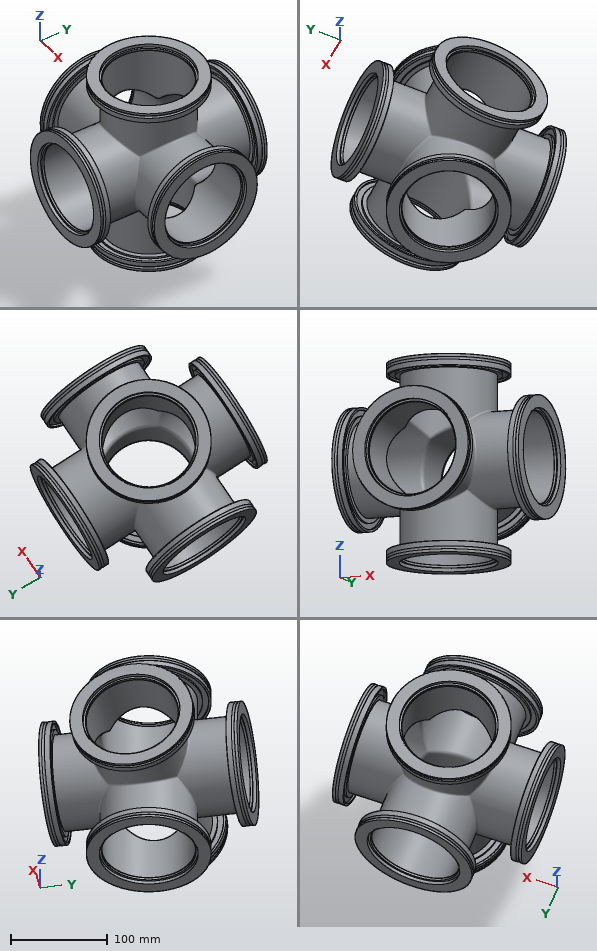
import cadquery as cq
face_offset = 105.0

tube_diameter = 101.5
tube_bore_diameter = 97.3
outer_seam_radius = 1.7
wall_thickness = (tube_diameter - tube_bore_diameter) / 2
inner_seam_radius = outer_seam_radius + wall_thickness

flange_diameter = 130.0
flange_thickness = 12.0
recess_diameter = 102.8
recess_depth = 3.8
flange_bore_diameter = 98.5
socket_diameter = 102.0
tube_end_depth = 6.3
rim_groove_radius = 1.5
rim_groove_depth = 4.6
back_groove_inner_diameter = 112.2
back_groove_outer_diameter = 125.0
back_groove_depth = 2.0

tube_end_offset = face_offset - tube_end_depth
flange_back_offset = face_offset - flange_thickness

port_directions = [
    (1, 0, 0),
    (-1, 0, 0),
    (0, 1, 0),
    (0, -1, 0),
    (0, 0, 1),
    (0, 0, -1),
]


def three_way_cylinders(diameter, seam_radius):
    """Three crossing cylinders, one along each axis, with rounded seams."""
    cross = cq.Workplane("XY")
    for plane in ("XY", "YZ", "XZ"):
        bar = cq.Workplane(plane).circle(diameter / 2).extrude(tube_end_offset, both=True)
        cross = cross.union(bar)
    return cross.edges("%ELLIPSE").fillet(seam_radius)


def make_tube_cross():
    """Six-way tube with a through bore along each axis."""
    outside = three_way_cylinders(tube_diameter, outer_seam_radius)
    bore = three_way_cylinders(tube_bore_diameter, inner_seam_radius)
    return outside.cut(bore)


def disc(plane, diameter, depth):
    """Cylinder from a plane along its normal; a negative depth goes backward."""
    return cq.Workplane(plane).circle(diameter / 2).extrude(depth)


def make_flange(direction):
    """Clamp flange whose sealing face looks along the given direction."""
    face = cq.Plane(
        origin=tuple(face_offset * axis for axis in direction),
        normal=direction,
    )
    back = cq.Plane(
        origin=tuple(flange_back_offset * axis for axis in direction),
        normal=direction,
    )

    flange = disc(face, flange_diameter, -flange_thickness)
    flange = flange.cut(disc(face, recess_diameter, -recess_depth))
    flange = flange.cut(disc(face, flange_bore_diameter, -flange_thickness))
    flange = flange.cut(disc(back, socket_diameter, flange_thickness - tube_end_depth))

    back_groove = disc(back, back_groove_outer_diameter, back_groove_depth).cut(
        disc(back, back_groove_inner_diameter, back_groove_depth)
    )
    flange = flange.cut(back_groove)

    rim_groove = cq.Solid.makeTorus(
        flange_diameter / 2,
        rim_groove_radius,
        face.origin - face.zDir * rim_groove_depth,
        face.zDir,
    )
    return flange.cut(cq.Workplane(rim_groove))


tube_cross = make_tube_cross().solids()
flanges = [make_flange(direction).solids() for direction in port_directions]

result = cq.Compound.makeCompound([tube_cross.val(), *[flange.val() for flange in flanges]])